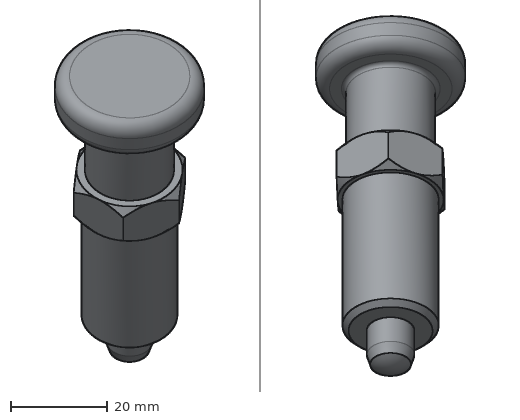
import cadquery as cq
import math


overall_height = 80.0
knob_height = 9.0
hex_height = 10.0
hex_bottom = 43.0
housing_bottom = 10.0
nose_start = 4.0
tip_cap_height = 1.5

knob_radius = 15.5
neck_radius = 9.3
housing_radius = 10.0
pin_radius = 5.0
nose_edge_radius = 4.2
hex_across_flats = 22.0

knob_top_round = 3.0
knob_bottom_round = 2.8
neck_fillet = 1.0
housing_chamfer = 1.3

hex_top = hex_bottom + hex_height
knob_bottom = overall_height - knob_height
hex_across_corners = hex_across_flats / math.cos(math.pi / 6)


def arc_middle(center_r, center_z, radius, angle):
    """Point (r, z) at the given angle in degrees on an arc."""
    turn = math.radians(angle)
    return center_r + radius * math.cos(turn), center_z + radius * math.sin(turn)


def make_hex_collar():
    """Hexagon with flats facing Y, its corners cut by 45 degree cones at both ends."""
    prism = cq.Workplane("XY", origin=(0, 0, hex_bottom)).polygon(6, hex_across_corners).extrude(hex_height)
    flat_radius = hex_across_flats / 2
    corner_radius = hex_across_corners / 2
    corner_cut = corner_radius - flat_radius
    envelope = (
        cq.Workplane("XY", origin=(0, 0, hex_bottom))
        .circle(corner_radius)
        .extrude(hex_height)
        .edges("%CIRCLE")
        .chamfer(corner_cut)
    )
    return prism.intersect(envelope)


def make_housing():
    """Cylinder with a chamfered lower end, hexagonal collar and pin bore."""
    barrel = (
        cq.Workplane("XY", origin=(0, 0, housing_bottom))
        .circle(housing_radius)
        .extrude(hex_top - housing_bottom)
        .faces("<Z")
        .chamfer(housing_chamfer)
    )
    bore = cq.Workplane("XY").circle(pin_radius).extrude(hex_top)
    return barrel.union(make_hex_collar()).cut(bore)


def make_plunger():
    """Knob, neck and tapered pin as one turned profile."""
    cap_radius = (nose_edge_radius**2 + tip_cap_height**2) / (2 * tip_cap_height)
    cap_angle = -90 + math.degrees(math.asin(nose_edge_radius / cap_radius)) / 2
    cap_middle = arc_middle(0, cap_radius, cap_radius, cap_angle)

    fillet_middle = arc_middle(neck_radius + neck_fillet, knob_bottom - neck_fillet, neck_fillet, 135)

    lower_center_r = knob_radius - knob_bottom_round
    lower_center_z = knob_bottom + knob_bottom_round
    lower_middle = arc_middle(lower_center_r, lower_center_z, knob_bottom_round, -45)

    upper_center_r = knob_radius - knob_top_round
    upper_center_z = overall_height - knob_top_round
    upper_middle = arc_middle(upper_center_r, upper_center_z, knob_top_round, 45)

    profile = (
        cq.Workplane("XZ")
        .moveTo(0, 0)
        .threePointArc(cap_middle, (nose_edge_radius, tip_cap_height))
        .lineTo(pin_radius, nose_start)
        .lineTo(pin_radius, hex_top)
        .lineTo(neck_radius, hex_top)
        .lineTo(neck_radius, knob_bottom - neck_fillet)
        .threePointArc(fillet_middle, (neck_radius + neck_fillet, knob_bottom))
        .lineTo(lower_center_r, knob_bottom)
        .threePointArc(lower_middle, (knob_radius, lower_center_z))
        .lineTo(knob_radius, upper_center_z)
        .threePointArc(upper_middle, (upper_center_r, overall_height))
        .lineTo(0, overall_height)
    )
    return profile.close().revolve(360, (0, 0, 0), (0, 1, 0))


housing = make_housing()
plunger = make_plunger()

result = cq.Compound.makeCompound([*housing.solids().vals(), plunger.val()])